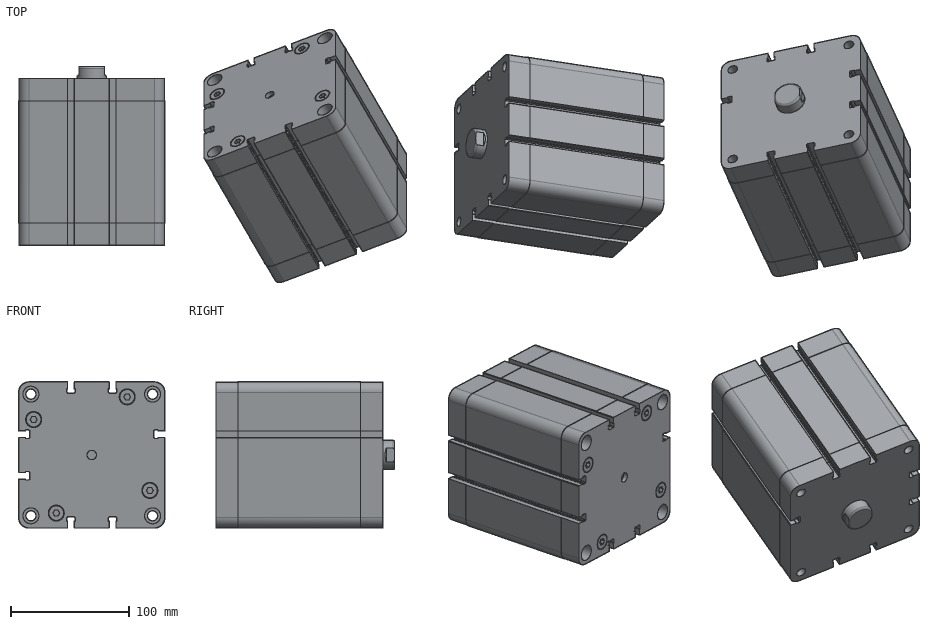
import cadquery as cq
import math

barrel_width = 124.0
barrel_corner_radius = 9.0
cap_step = 0.3
cap_width = barrel_width - 2 * cap_step
cap_corner_radius = barrel_corner_radius - cap_step
cap_length = 19.0
total_length = 151.5
rod_length = 10.0
body_length = total_length - rod_length
barrel_length = body_length - 2 * cap_length

slot_offset = 17.65
slot_neck_width = 5.5
slot_foot_width = 7.0
slot_depth = 9.5
slot_neck_depth = 5.7
slot_foot_chamfer = 0.8
slot_mouth_chamfer = 0.5
slots = [(0, -1), (0, 1), (90, -1), (180, -1), (180, 1), (270, -1), (270, 1)]

mount_offset = 51.5
mount_diameter = 8.38
mount_bore_diameter = 13.5
mount_bore_depth = 12.0

screw_far_offset = 49.2
screw_near_offset = 30.0
screw_bore_diameter = 13.5
screw_head_diameter = 12.5
screw_head_height = 8.0
hex_across_flats = 5.0
hex_depth = 4.0

centre_hole_diameter = 8.0
centre_hole_depth = 4.0

rod_diameter = 25.0
rod_across_flats = 22.0
rod_tip_radius = 1.6
flat_length = 7.0
flat_runout = 1.2


def plane_at(y):
    """Workplane at the given Y, with local x along X, local y along Z and extrusion toward +Y."""
    return cq.Workplane(cq.Plane(origin=(0, y, 0), xDir=(1, 0, 0), normal=(0, -1, 0)))


def square_block(y_start, length, width, corner_radius):
    """Square prism along Y with rounded corners."""
    return plane_at(y_start).rect(width, width).extrude(-length).edges("|Y").fillet(corner_radius)


def cylinder(x, z, diameter, y_start, length):
    """Cylinder along Y, centred on the given X and Z."""
    return plane_at(y_start).center(x, z).circle(diameter / 2).extrude(-length)


def make_body():
    """Front cap, barrel and rear cap as one solid."""
    front_cap = square_block(0, cap_length, cap_width, cap_corner_radius)
    barrel = square_block(cap_length, barrel_length, barrel_width, barrel_corner_radius)
    rear_cap = square_block(cap_length + barrel_length, cap_length, cap_width, cap_corner_radius)
    return front_cap.union(barrel).union(rear_cap)


def slot_profile(face):
    """Outline of the slot right of the top face centre, mouth chamfered on the edge nearer the centre."""
    neck = slot_neck_width / 2
    foot = slot_foot_width / 2
    floor = face - slot_depth
    shoulder = face - slot_neck_depth
    return [
        (slot_offset + neck, face),
        (slot_offset + neck, shoulder),
        (slot_offset + foot, shoulder),
        (slot_offset + foot, floor + slot_foot_chamfer),
        (slot_offset + foot - slot_foot_chamfer, floor),
        (slot_offset - foot + slot_foot_chamfer, floor),
        (slot_offset - foot, floor + slot_foot_chamfer),
        (slot_offset - foot, shoulder),
        (slot_offset - neck, shoulder),
        (slot_offset - neck, face - slot_mouth_chamfer),
        (slot_offset - neck - slot_mouth_chamfer, face),
    ]


def make_slot_cutter():
    """Slot cutter over the body length, its depth measured from the face of each body section."""
    sections = [
        (0, cap_length, cap_width / 2),
        (cap_length, barrel_length, barrel_width / 2),
        (cap_length + barrel_length, cap_length, cap_width / 2),
    ]
    cutter = cq.Workplane("XY")
    for y_start, length, face in sections:
        profile = slot_profile(face)
        cutter = cutter.union(plane_at(y_start).polyline(profile).close().extrude(-length))
    return cutter


def cut_slots(body):
    """Cut every listed slot, turned onto its face of the body."""
    right_slot = make_slot_cutter()
    left_slot = right_slot.mirror("YZ")
    for angle, side in slots:
        slot = right_slot if side > 0 else left_slot
        body = body.cut(slot.rotate((0, 0, 0), (0, 1, 0), angle))
    return body


def cut_mount_holes(body):
    """Through holes in the four corners, counterbored from the front."""
    for x in (-mount_offset, mount_offset):
        for z in (-mount_offset, mount_offset):
            body = body.cut(cylinder(x, z, mount_diameter, 0, body_length))
            body = body.cut(cylinder(x, z, mount_bore_diameter, 0, mount_bore_depth))
    return body


def add_cap_screws(body):
    """Four socket screws, spaced a quarter turn apart about the Y axis."""
    hex_across_corners = hex_across_flats / math.cos(math.pi / 6)
    positions = [
        (screw_near_offset, screw_far_offset),
        (screw_far_offset, -screw_near_offset),
        (-screw_near_offset, -screw_far_offset),
        (-screw_far_offset, screw_near_offset),
    ]
    for x, z in positions:
        body = body.cut(cylinder(x, z, screw_bore_diameter, 0, screw_head_height))
        body = body.union(cylinder(x, z, screw_head_diameter, 0, screw_head_height))
        body = body.cut(plane_at(0).center(x, z).polygon(6, hex_across_corners).extrude(-hex_depth))
    return body


def make_rod():
    """Round rod with a rounded tip edge and two flats that end in sloping shoulders."""
    radius = rod_diameter / 2
    half_flats = rod_across_flats / 2
    flat_end = total_length - flat_length
    rod = cylinder(0, 0, rod_diameter, body_length, rod_length).faces(">Y").edges().fillet(rod_tip_radius)
    flat_outline = [
        (half_flats, total_length),
        (half_flats, flat_end),
        (radius, flat_end - flat_runout),
        (radius, total_length),
    ]
    flat = cq.Workplane("XY").polyline(flat_outline).close().extrude(radius, both=True)
    return rod.cut(flat).cut(flat.mirror("YZ"))


body = cut_slots(make_body())
body = cut_mount_holes(body)
body = add_cap_screws(body)
body = body.cut(cylinder(0, 0, centre_hole_diameter, 0, centre_hole_depth))
result = body.union(make_rod())